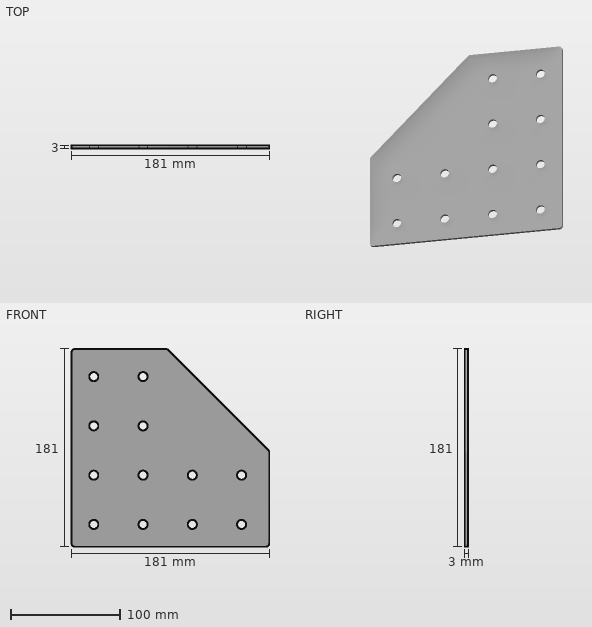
import cadquery as cq

side = 181.0
thickness = 3.0
short_edge = 87.8
corner_radius = 3.0

hole_diameter = 8.1
hole_pitch = 45.0
hole_inset = 20.5
grid_count = 4
arm_width = 2

half = side / 2
cut_position = short_edge - half

back_plane = cq.Workplane("XZ", origin=(0, thickness / 2, 0))

plate = (
    back_plane
    .polyline([
        (-half, -half),
        (half, -half),
        (half, cut_position),
        (cut_position, half),
        (-half, half),
    ])
    .close()
    .extrude(thickness)
    .edges("|Y")
    .fillet(corner_radius)
)

hole_centres = [
    (hole_inset - half + column * hole_pitch, hole_inset - half + row * hole_pitch)
    for column in range(grid_count)
    for row in range(grid_count)
    if column < arm_width or row < arm_width
]

holes = (
    back_plane
    .pushPoints(hole_centres)
    .circle(hole_diameter / 2)
    .extrude(thickness)
)

result = plate.cut(holes)